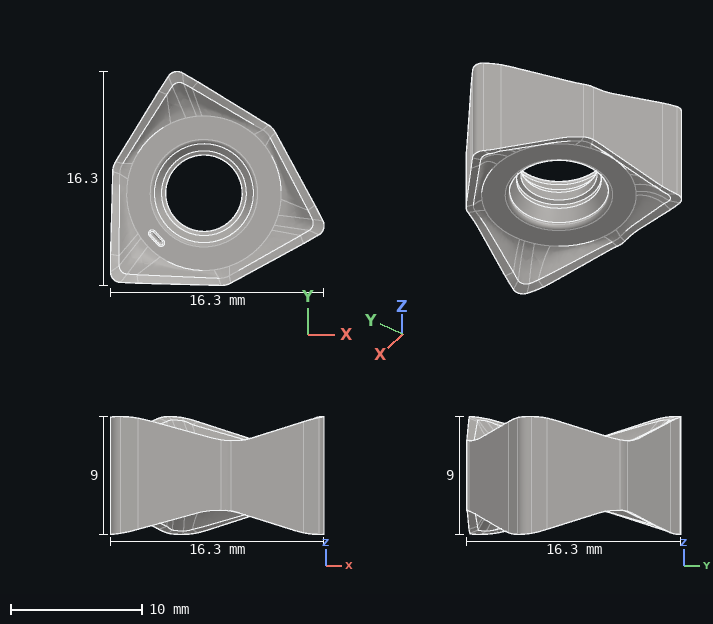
import cadquery as cq
import math

SIDES = 3
PITCH = 360 / SIDES
CORNER_AXIS = 223.5
FACET_DISTANCE = 7.0
FACET_TILT = 15
CORNER_RADIUS = 0.8
OBTUSE_RADIUS = 1.5
WIPER_TILT = 1.4
WIPER_SHIFT = 4.82

CREST_HEIGHT = 4.5
EDGE_SLOPE = 15.5
CREST_RADIUS = 7.99
VALLEY_RADIUS = 6.52
CREST_OFFSET = 0.55

LAND_WIDTH = 0.57
LAND_TILT = 16
LAND_CORNER_DROP = 0.28
LAND_OBTUSE_DROP = 0.07
LAND_CORNER_RADIUS = 0.65
DISC_RADIUS = 5.88
DISC_HEIGHT = 2.45
DISH_SAG = 0.42
DISC_SPLITS = [-8, 0, 12, 54, 66, 108, PITCH - 8]

MOUTH_RADIUS = 4.09
SEAT_RADIUS = 3.77
THROAT_RADIUS = 3.23
BORE_RADIUS = 2.9
SEAT_TOP = 1.92
SEAT_BOTTOM = 0.95
THROAT_BOTTOM = 0.59
BORE_TOP = 0.39

GROOVE_DISTANCE = 4.97
GROOVE_SPACING = 0.98
GROOVE_RADIUS = 0.16
LIP_WIDTH = 0.11
LIP_DEPTH = 0.05


def polar(radius, degrees):
    angle = math.radians(degrees)
    return cq.Vector(radius * math.cos(angle), radius * math.sin(angle))


def meeting_point(distance_a, normal_a, distance_b, normal_b):
    """Point where two lines meet, each given by its distance and normal direction."""
    across = math.sin(math.radians(normal_b - normal_a))
    along = (distance_b - distance_a * math.cos(math.radians(normal_b - normal_a))) / across
    return polar(distance_a, normal_a) + polar(along, normal_a + 90)


def outline_pieces(inset, facet_tilt, corner_radius, obtuse_radius):
    """One pitch of the outline, counter-clockwise from a sharp corner on the X axis.

    Each piece is (start, end, arc centre), with None as the centre of a straight piece.
    """
    facet = FACET_DISTANCE - inset
    half = PITCH / 2
    first_normal = half - facet_tilt
    wiper_normal = first_normal - WIPER_TILT
    crease = polar(FACET_DISTANCE, first_normal) + polar(-WIPER_SHIFT, first_normal + 90)
    wiper = crease.dot(polar(1, wiper_normal)) - inset

    corner_centre = polar((wiper - corner_radius) / math.cos(math.radians(wiper_normal)), 0)
    obtuse_centre = polar((facet - obtuse_radius) / math.cos(math.radians(facet_tilt)), half)
    points = [
        corner_centre + polar(corner_radius, -wiper_normal),
        corner_centre + polar(corner_radius, wiper_normal),
        meeting_point(wiper, wiper_normal, facet, first_normal),
        obtuse_centre + polar(obtuse_radius, half - facet_tilt),
        obtuse_centre + polar(obtuse_radius, half + facet_tilt),
        meeting_point(facet, half + facet_tilt, wiper, PITCH - wiper_normal),
    ]
    points.append(turn(points[0], PITCH))
    centres = [corner_centre, None, None, obtuse_centre, None, None]
    return list(zip(points[:-1], points[1:], centres))


def turn(point, degrees):
    """Turn a point about the Z axis."""
    c, s = math.cos(math.radians(degrees)), math.sin(math.radians(degrees))
    return cq.Vector(point.x * c - point.y * s, point.x * s + point.y * c, point.z)


def sweep_angle(piece):
    start, end, centre = piece
    return math.degrees((start - centre).getAngle(end - centre))


def piece_length(piece):
    start, end, centre = piece
    if centre is None:
        return (end - start).Length
    return math.radians(sweep_angle(piece)) * (start - centre).Length


def point_on(piece, t):
    start, end, centre = piece
    if centre is None:
        return start + (end - start) * t
    return centre + turn(start - centre, t * sweep_angle(piece))


RIM = outline_pieces(0, FACET_TILT, CORNER_RADIUS, OBTUSE_RADIUS)
LAND = outline_pieces(LAND_WIDTH, LAND_TILT, LAND_CORNER_RADIUS, OBTUSE_RADIUS)
LENGTHS = [piece_length(piece) for piece in RIM]
PERIMETER_PITCH = sum(LENGTHS)


def distance_along(index, t):
    """Distance along the edge from the sharp corner."""
    return sum(LENGTHS[:index]) + t * LENGTHS[index] - LENGTHS[0] / 2


def edge_height(distance):
    """Height of the cutting edge at a distance along it from the sharp corner."""
    slope = math.tan(math.radians(EDGE_SLOPE))
    bend = math.radians(EDGE_SLOPE)
    half = PERIMETER_PITCH / 2
    from_crest = abs((distance - CREST_OFFSET + half) % PERIMETER_PITCH - half)
    from_valley = half - from_crest
    if from_crest < CREST_RADIUS * math.sin(bend):
        return CREST_HEIGHT - CREST_RADIUS + math.sqrt(CREST_RADIUS**2 - from_crest**2)
    peak = CREST_HEIGHT + CREST_RADIUS * (1 / math.cos(bend) - 1)
    if from_valley < VALLEY_RADIUS * math.sin(bend):
        floor = peak - slope * half + VALLEY_RADIUS / math.cos(bend)
        return floor - math.sqrt(VALLEY_RADIUS**2 - from_valley**2)
    return peak - slope * from_crest


VALLEY_HEIGHT = edge_height(CREST_OFFSET + PERIMETER_PITCH / 2)


def rim_point(index, t):
    return point_on(RIM[index], t) + cq.Vector(0, 0, edge_height(distance_along(index, t)))


def lower_rim_point(index, t):
    return point_on(RIM[index], t) - cq.Vector(0, 0, edge_height(-distance_along(index, t)))


def land_point(index, t):
    """Inner side of the land, its drop growing evenly with the edge height."""
    height = edge_height(distance_along(index, t))
    rise = (height - VALLEY_HEIGHT) / (CREST_HEIGHT - VALLEY_HEIGHT)
    drop = LAND_OBTUSE_DROP + rise * (LAND_CORNER_DROP - LAND_OBTUSE_DROP)
    return point_on(LAND[index], t) + cq.Vector(0, 0, height - drop)


def disc_point(index, t):
    angle = DISC_SPLITS[index] + t * (DISC_SPLITS[index + 1] - DISC_SPLITS[index])
    return polar(DISC_RADIUS, angle) + cq.Vector(0, 0, DISC_HEIGHT)


def dish_point(index, t):
    """Middle of the dish, hollowed in proportion to the drop from land to disc."""
    outer = land_point(index, t)
    inner = disc_point(index, t)
    hollow = DISH_SAG * (outer.z - inner.z) / (CREST_HEIGHT - DISC_HEIGHT)
    return (outer + inner) * 0.5 - cq.Vector(0, 0, hollow)


def curve(point_function, index):
    samples = 14
    return cq.Edge.makeSpline([point_function(index, i / samples) for i in range(samples + 1)])


def strip(outer, inner, index):
    """Ruled surface between two curves of the same outline piece."""
    return cq.Face.makeRuledSurface(curve(outer, index), curve(inner, index))


def dish(index):
    """Smooth surface from the land down to the disc."""
    sections = [cq.Wire.assembleEdges([curve(f, index)]) for f in (land_point, dish_point, disc_point)]
    return cq.occ_impl.shapes.loft(*sections).Faces()[0]


def around(shapes):
    """Copies of the shapes at every side of the insert."""
    return [shape.rotate((0, 0, 0), (0, 0, 1), side * PITCH) for side in range(SIDES) for shape in shapes]


def insert_body():
    top_faces = []
    walls = []
    disc_edges = []
    for index in range(len(RIM)):
        top_faces.append(strip(rim_point, land_point, index))
        top_faces.append(dish(index))
        walls.append(strip(rim_point, lower_rim_point, index))
        disc_edges.append(curve(disc_point, index))
    bottom_faces = [face.rotate((0, 0, 0), (1, 0, 0), 180) for face in top_faces]

    faces = around(top_faces + walls + bottom_faces)
    ring = around(disc_edges)
    disc = cq.Face.makeFromWires(cq.Wire.assembleEdges(ring))
    faces += [disc, disc.rotate((0, 0, 0), (1, 0, 0), 180)]
    return cq.Workplane(cq.Solid.makeSolid(cq.Shell.makeShell(faces)).fix())


def stepped_hole():
    lip_radius = MOUTH_RADIUS - SEAT_RADIUS
    lip_base = DISC_HEIGHT - lip_radius
    lip_middle = (MOUTH_RADIUS - lip_radius * math.sqrt(0.5), lip_base + lip_radius * math.sqrt(0.5))
    upper = (
        cq.Workplane("XZ")
        .moveTo(0, 0)
        .lineTo(BORE_RADIUS, 0)
        .lineTo(BORE_RADIUS, BORE_TOP)
        .lineTo(THROAT_RADIUS, THROAT_BOTTOM)
        .lineTo(THROAT_RADIUS, SEAT_BOTTOM)
        .lineTo(SEAT_RADIUS, SEAT_TOP)
        .lineTo(SEAT_RADIUS, lip_base)
        .threePointArc(lip_middle, (MOUTH_RADIUS, DISC_HEIGHT))
        .lineTo(0, DISC_HEIGHT)
        .close()
        .revolve(360, (0, 0), (0, 1))
    )
    return upper.union(upper.mirror("XY"))


def index_groove():
    lip = (
        cq.Workplane("XY", origin=(GROOVE_DISTANCE, 0, DISC_HEIGHT))
        .slot2D(GROOVE_SPACING + 2 * (GROOVE_RADIUS + LIP_WIDTH), 2 * (GROOVE_RADIUS + LIP_WIDTH), 90)
        .extrude(-LIP_DEPTH, taper=math.degrees(math.atan(LIP_WIDTH / LIP_DEPTH)))
    )
    channel = cq.Workplane("XZ", origin=(GROOVE_DISTANCE, GROOVE_SPACING / 2, DISC_HEIGHT - LIP_DEPTH))
    channel = channel.circle(GROOVE_RADIUS).extrude(GROOVE_SPACING)
    for end in (-GROOVE_SPACING / 2, GROOVE_SPACING / 2):
        ball = cq.Workplane("XY", origin=(GROOVE_DISTANCE, end, DISC_HEIGHT - LIP_DEPTH))
        channel = channel.union(ball.sphere(GROOVE_RADIUS))
    return channel.union(lip)


body = insert_body().cut(stepped_hole()).cut(index_groove())
result = body.rotate((0, 0, 0), (0, 0, 1), CORNER_AXIS)